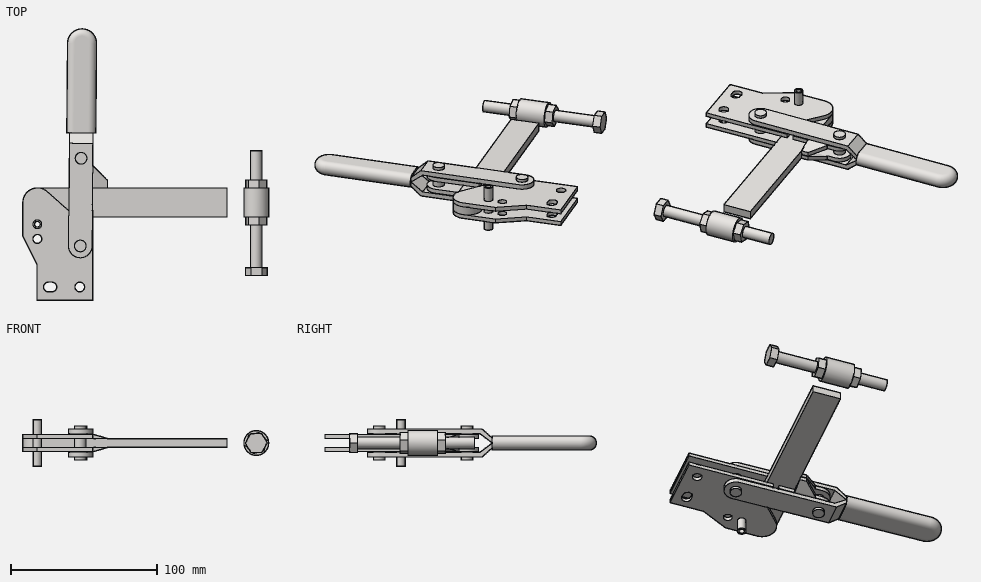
import cadquery as cq
import math


sheet = 3.0
arm_half_thickness = 3.0
plate_outer_z = arm_half_thickness + sheet
strap_inner_z = 6.3
strap_thickness = 3.3
strap_outer_z = strap_inner_z + strap_thickness
rivet_half_length = 11.7
pin_half_length = 16.0

arm_width = 20.0
arm_length = 140.0
arm_round = arm_width / 2
arm_end_x = -29.4
arm_end_y = 29.8
arm_tip_x = arm_end_x - arm_round + arm_length
arm_top_y = arm_end_y + arm_round

base_left_x = arm_end_x - arm_round
base_right_x = 8.5
base_bottom_y = -37.2
foot_left_x = -29.8
side_taper_top_y = 6.7
side_taper_bottom_y = -12.6
shoulder_y = 24.2
shoulder_slope = 41.5
pin_y = 14.9
pin_diameter = 6.0
pin_bore = 3.7
spare_hole_y = 4.8
mount_y = -28.0
mount_hole_x = -0.4
mount_diameter = 6.5
mount_slot_x = -20.6
mount_slot_length = 9.0

handle_lean = 0.5
strap_width = 16.2
tang_width = 14.1
rivet_diameter = 8.0
rivet_spacing = 60.0
bend_inner_y = 69.0
bend_outer_y = 70.3
grip_start_y = 77.4
grip_tip_y = 148.8
grip_width = 20.0
grip_thickness = 9.9
grip_end_y = grip_tip_y - grip_width / 2

link_x = rivet_spacing * math.sin(math.radians(handle_lean))
link_y = rivet_spacing * math.cos(math.radians(handle_lean))
link_round = 8.0
link_bottom_y = 28.5
wing_root_x = 9.1
wing_tip_x = 18.8
wing_high_y = 54.7
wing_low_y = 44.8
wing_half_gap = 0.2

spindle_x = 120.5
rod_diameter = 8.0
rod_top_y = 65.3
sleeve_diameter = 17.1
hex_flats = 13.0
hex_height = 5.4
head_bottom_y = -20.3
nut_turn = 15


def cylinder_through(x, y, diameter, half_length):
    """Cylinder along Z, centred on the middle plane."""
    start = cq.Workplane("XY", origin=(x, y, -half_length))
    return start.circle(diameter / 2).extrude(2 * half_length)


def lean(body):
    return body.rotate((0, 0, 0), (0, 0, 1), -handle_lean)


def make_arm():
    return (
        cq.Workplane("XY")
        .moveTo(arm_end_x, arm_top_y)
        .lineTo(arm_tip_x, arm_top_y)
        .lineTo(arm_tip_x, arm_top_y - arm_width)
        .lineTo(arm_end_x, arm_top_y - arm_width)
        .threePointArc((base_left_x, arm_end_y), (arm_end_x, arm_top_y))
        .close()
        .extrude(arm_half_thickness, both=True)
    )


def make_base_plate(bottom_z):
    slope = math.radians(shoulder_slope)
    tangent_x = arm_end_x + arm_round * math.sin(slope)
    tangent_y = arm_end_y + arm_round * math.cos(slope)
    shoulder_x = tangent_x + (tangent_y - shoulder_y) / math.tan(slope)
    plate = (
        cq.Workplane("XY")
        .moveTo(base_left_x, arm_end_y)
        .threePointArc((arm_end_x, arm_top_y), (tangent_x, tangent_y))
        .lineTo(shoulder_x, shoulder_y)
        .lineTo(base_right_x, shoulder_y)
        .lineTo(base_right_x, base_bottom_y)
        .lineTo(foot_left_x, base_bottom_y)
        .lineTo(foot_left_x, side_taper_bottom_y)
        .lineTo(base_left_x, side_taper_top_y)
        .close()
        .extrude(sheet)
    )
    holes = (
        (0, 0, rivet_diameter),
        (arm_end_x, pin_y, pin_diameter),
        (arm_end_x, spare_hole_y, pin_diameter),
        (mount_hole_x, mount_y, mount_diameter),
    )
    for x, y, diameter in holes:
        plate = plate.cut(cylinder_through(x, y, diameter, plate_outer_z))
    slot = (
        cq.Workplane("XY")
        .center(mount_slot_x, mount_y)
        .slot2D(mount_slot_length, mount_diameter)
        .extrude(sheet)
    )
    return plate.cut(slot).translate((0, 0, bottom_z))


def make_stop_pin():
    pin = cylinder_through(arm_end_x, pin_y, pin_diameter, pin_half_length)
    return pin.cut(cylinder_through(arm_end_x, pin_y, pin_bore, pin_half_length))


def make_rivet(x, y):
    return cylinder_through(x, y, rivet_diameter, rivet_half_length)


def make_link():
    outline = (
        cq.Workplane("XY")
        .moveTo(link_x - link_round, link_bottom_y)
        .lineTo(link_x - link_round, link_y)
        .threePointArc((link_x, link_y + link_round), (link_x + link_round, link_y))
        .lineTo(link_x + link_round, wing_high_y)
        .lineTo(wing_root_x, wing_high_y)
        .lineTo(wing_tip_x, wing_low_y)
        .lineTo(wing_tip_x, arm_top_y)
        .lineTo(link_x + link_round, arm_top_y)
        .lineTo(link_x + link_round, link_bottom_y)
        .close()
        .extrude(plate_outer_z)
    )
    bend = (
        cq.Workplane("XZ", origin=(0, link_y + link_round, 0))
        .moveTo(link_x - link_round, plate_outer_z)
        .lineTo(wing_root_x, plate_outer_z)
        .lineTo(wing_tip_x, wing_half_gap + sheet)
        .lineTo(wing_tip_x, wing_half_gap)
        .lineTo(wing_root_x, arm_half_thickness)
        .lineTo(link_x - link_round, arm_half_thickness)
        .close()
        .extrude(link_y + link_round - link_bottom_y)
    )
    upper = outline.intersect(bend)
    rivet = make_rivet(link_x, link_y)
    return rivet.union(upper).union(upper.mirror("XY"))


def make_strap():
    bent_bar = (
        cq.Workplane("YZ", origin=(-strap_width / 2, 0, 0))
        .moveTo(0, strap_inner_z)
        .lineTo(bend_inner_y, strap_inner_z)
        .lineTo(grip_start_y, 0)
        .lineTo(grip_start_y, strap_thickness)
        .lineTo(bend_outer_y, strap_outer_z)
        .lineTo(0, strap_outer_z)
        .close()
        .extrude(strap_width)
    )
    round_end = (
        cq.Workplane("XY", origin=(0, 0, strap_inner_z))
        .circle(strap_width / 2)
        .extrude(strap_thickness)
    )
    return bent_bar.union(round_end)


def make_tang():
    return (
        cq.Workplane("XZ", origin=(0, grip_end_y, 0))
        .rect(tang_width, 2 * strap_thickness)
        .extrude(grip_end_y - grip_start_y)
    )


def make_handle():
    strap = make_strap()
    handle = lean(make_tang().union(strap).union(strap.mirror("XY")))
    return handle.union(make_rivet(0, 0)).cut(make_rivet(link_x, link_y))


def make_grip(handle):
    bar = (
        cq.Workplane("XZ", origin=(0, grip_end_y, 0))
        .slot2D(grip_width, grip_thickness)
        .extrude(grip_end_y - grip_start_y)
    )
    flat_half_width = (grip_width - grip_thickness) / 2
    round_end = (
        cq.Workplane("XZ", origin=(0, grip_end_y, 0))
        .moveTo(0, -grip_thickness / 2)
        .lineTo(flat_half_width, -grip_thickness / 2)
        .threePointArc((grip_width / 2, 0), (flat_half_width, grip_thickness / 2))
        .lineTo(0, grip_thickness / 2)
        .close()
        .revolve(180, (0, 0, 0), (0, 1, 0))
    )
    return lean(bar.union(round_end)).cut(handle)


def make_hexagon(bottom_y, turn):
    corner_diameter = hex_flats / math.cos(math.radians(30))
    return (
        cq.Workplane("XZ")
        .polygon(6, corner_diameter)
        .extrude(-hex_height)
        .rotate((0, 0, 0), (0, 1, 0), -turn)
        .translate((spindle_x, bottom_y, 0))
    )


def make_round(bottom_y, top_y, diameter):
    return (
        cq.Workplane("XZ", origin=(spindle_x, top_y, 0))
        .circle(diameter / 2)
        .extrude(top_y - bottom_y)
    )


def make_spindle():
    sleeve_bottom_y = arm_top_y - arm_width
    spindle = make_round(head_bottom_y, rod_top_y, rod_diameter)
    spindle = spindle.union(make_hexagon(head_bottom_y, 0))
    spindle = spindle.union(make_round(sleeve_bottom_y, arm_top_y, sleeve_diameter))
    for bottom_y in (sleeve_bottom_y - hex_height, arm_top_y):
        spindle = spindle.union(make_hexagon(bottom_y, nut_turn))
    return spindle


arm = make_arm()
base_plates = [make_base_plate(z) for z in (-plate_outer_z, arm_half_thickness)]
stop_pin = make_stop_pin()
link = make_link()
handle = make_handle()
grip = make_grip(handle)
spindle = make_spindle()

result = cq.Compound.makeCompound([
    arm.val(),
    *[plate.val() for plate in base_plates],
    stop_pin.val(),
    link.val(),
    handle.val(),
    grip.val(),
    spindle.val(),
])